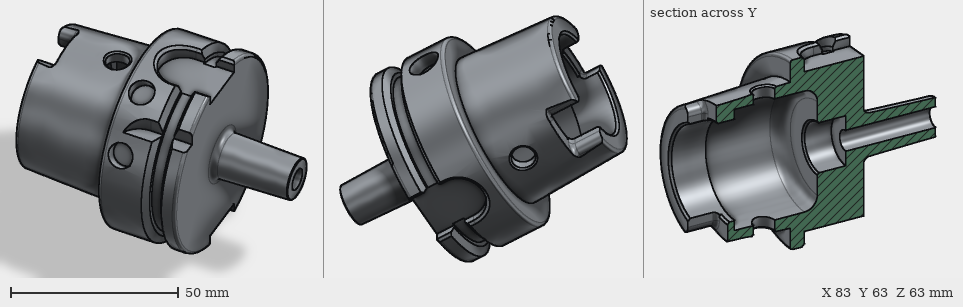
import cadquery as cq
import math


length = 82.95
flange_start = 32.0
flange_end = 57.8
groove_center = 49.9
groove_floor_width = 3.7
groove_wall_run = 1.5

shank_tip_radius = 22.7
shank_root_radius = 24.3
edge_round = 1.0
flange_radius = 31.5
groove_radius = 27.5
groove_wall_angle = 60.0
nose_root_radius = 7.3
nose_tip_radius = 6.6
nose_fillet = 2.0
nose_tip_chamfer = 0.25

mouth_radius = 16.75
mouth_chamfer = 0.75
cavity_start = 12.6
cavity_end = 41.5
cavity_radius = 20.0
cavity_fillet = 4.5
tube_bore_radius = 8.2
tube_bore_chamfer = 0.62
tube_bore_depth = 9.95
coolant_radius = 3.4

drive_half_width = 6.1
drive_wall_top = 18.25
drive_flare_radius = 2.7
drive_flare_reach = 2.5
drive_floor_fillet = 1.4
top_drive_depth = 6.05
bottom_drive_depth = 10.0

cross_hole_x = 22.9
cross_hole_radius = 3.65
cross_hole_chamfer = 0.6

keyway_half_width = 8.0
keyway_floor = 26.55
keyway_round_x = 45.05
keyway_rim_chamfer = 1.0

notch_offset = 20.0
notch_end_x = 44.05
notch_end_radius = 8.0

wrench_hole_x = 38.0
wrench_hole_radius = 4.0
wrench_hole_floor = 27.5
wrench_hole_angle = 26.5
chip_hole_x = 38.7
chip_hole_radius = 5.0
chip_hole_depth = 4.5

clearance = 4.15


def turned(profile):
    """Close a half profile drawn as (X, radius) and revolve it about X."""
    return profile.close().revolve(360, (0, 0, 0), (1, 0, 0))


def shank():
    """Tapered shank with a rounded tip and a chamfered cross hole."""
    profile = cq.Workplane("XY").polyline([
        (0, 0),
        (0, shank_tip_radius),
        (flange_start, shank_root_radius),
        (flange_start, 0),
    ])
    taper = turned(profile).faces("<X").edges().fillet(edge_round)
    hole = cq.Workplane("XY").center(cross_hole_x, 0).circle(cross_hole_radius)
    taper = taper.cut(hole.extrude(shank_root_radius + clearance, both=True))
    for low, high in ((mouth_radius, shank_root_radius), (-shank_root_radius, -mouth_radius)):
        rim = cq.selectors.BoxSelector(
            (cross_hole_x - cross_hole_radius, -cross_hole_radius, low),
            (cross_hole_x + cross_hole_radius, cross_hole_radius, high),
        )
        taper = taper.edges(rim).chamfer(cross_hole_chamfer)
    return taper


def gripper_groove():
    """Flat-floored groove whose upper walls slope open."""
    outer_radius = flange_radius + clearance
    floor_half = groove_floor_width / 2
    slope = math.tan(math.radians(groove_wall_angle))
    slope_foot = flange_radius - groove_wall_run * slope
    top_half = floor_half + (outer_radius - slope_foot) / slope
    profile = cq.Workplane("XY").polyline([
        (groove_center - floor_half, groove_radius),
        (groove_center - floor_half, slope_foot),
        (groove_center - top_half, outer_radius),
        (groove_center + top_half, outer_radius),
        (groove_center + floor_half, slope_foot),
        (groove_center + floor_half, groove_radius),
    ])
    return turned(profile)


def nose():
    arc_sag = nose_fillet * (1 - math.sqrt(0.5))
    profile = (
        cq.Workplane("XY")
        .moveTo(flange_end, 0)
        .lineTo(flange_end, nose_root_radius + nose_fillet)
        .threePointArc(
            (flange_end + arc_sag, nose_root_radius + arc_sag),
            (flange_end + nose_fillet, nose_root_radius),
        )
        .lineTo(length - nose_tip_chamfer, nose_tip_radius)
        .lineTo(length, nose_tip_radius - nose_tip_chamfer)
        .lineTo(length, 0)
    )
    return turned(profile)


def axial_bore():
    """Mouth, wider cavity, coolant tube bore and coolant hole."""
    arc_sag = cavity_fillet * (1 - math.sqrt(0.5))
    tube_bore_end = cavity_end + tube_bore_depth
    profile = (
        cq.Workplane("XY")
        .moveTo(0, 0)
        .lineTo(0, mouth_radius)
        .lineTo(cavity_start, mouth_radius)
        .lineTo(cavity_start, cavity_radius)
        .lineTo(cavity_end - cavity_fillet, cavity_radius)
        .threePointArc(
            (cavity_end - arc_sag, cavity_radius - arc_sag),
            (cavity_end, cavity_radius - cavity_fillet),
        )
        .lineTo(cavity_end, tube_bore_radius + tube_bore_chamfer)
        .lineTo(cavity_end + tube_bore_chamfer, tube_bore_radius)
        .lineTo(tube_bore_end, tube_bore_radius)
        .lineTo(tube_bore_end, coolant_radius)
        .lineTo(length, coolant_radius)
        .lineTo(length, 0)
    )
    return turned(profile)


def mouth_bevel(x):
    """Cone that bevels the mouth bore where it meets a face at the given X."""
    return cq.Workplane("XY").add(cq.Solid.makeCone(
        mouth_radius + mouth_chamfer,
        mouth_radius,
        mouth_chamfer,
        pnt=cq.Vector(x, 0, 0),
        dir=cq.Vector(1, 0, 0),
    ))


def drive_slot(depth):
    """Slot on the +Z side: walls that flare outward, a rounded floor edge, a beveled mouth."""
    r = drive_flare_radius
    arc_sag = r * (1 - math.sqrt(0.5))
    inner = mouth_radius / 2
    flare_top = drive_wall_top + r
    flare_y = drive_half_width + r
    arc_mid = (drive_half_width + arc_sag, flare_top - arc_sag)
    outer_y = flare_y + drive_flare_reach
    outer_z = shank_root_radius + clearance
    slot = (
        cq.Workplane("YZ", origin=(-clearance, 0, 0))
        .moveTo(drive_half_width, inner)
        .lineTo(drive_half_width, drive_wall_top)
        .threePointArc(arc_mid, (flare_y, flare_top))
        .lineTo(outer_y, flare_top)
        .lineTo(outer_y, outer_z)
        .lineTo(-outer_y, outer_z)
        .lineTo(-outer_y, flare_top)
        .lineTo(-flare_y, flare_top)
        .threePointArc((-arc_mid[0], arc_mid[1]), (-drive_half_width, drive_wall_top))
        .lineTo(-drive_half_width, inner)
        .close()
        .extrude(depth + clearance)
    )
    slot = slot.faces(">X").edges().fillet(drive_floor_fillet)
    floor_width = 2 * (drive_half_width - drive_floor_fillet)
    floor_strip = cq.Workplane("XY").box(length, floor_width, outer_z, centered=(True, True, False))
    return slot.union(mouth_bevel(depth).intersect(floor_strip))


def keyway():
    """Keyway on the +Z side: round at the shank end, open at the nose end."""
    height = flange_radius + clearance - keyway_floor
    run = flange_end + clearance - keyway_round_x
    base = cq.Workplane("XY", origin=(keyway_round_x, 0, keyway_floor))
    round_end = base.circle(keyway_half_width).extrude(height)
    straight = base.rect(run, 2 * keyway_half_width).extrude(height).translate((run / 2, 0, 0))
    return round_end.union(straight)


def flange_disc():
    disc = cq.Workplane("YZ", origin=(flange_start, 0, 0))
    return disc.circle(flange_radius).extrude(flange_end - flange_start)


def flange():
    """Rounded disc with the chamfered keyways and the gripper groove."""
    disc = flange_disc()
    for key in (keyway(), keyway().mirror("XY")):
        disc = disc.cut(key)
    rim_bottom = (keyway_floor + flange_radius) / 2
    for low, high in ((rim_bottom, flange_radius), (-flange_radius, -rim_bottom)):
        rim = cq.selectors.BoxSelector(
            (flange_start + edge_round, -flange_radius / 2, low),
            (flange_end - edge_round, flange_radius / 2, high),
        )
        disc = disc.edges(rim).chamfer(keyway_rim_chamfer)
    rounded_disc = flange_disc().faces("<X or >X").edges().fillet(edge_round)
    return disc.intersect(rounded_disc).cut(gripper_groove())


def corner_notch():
    """Square corner cut on the -Y +Z side, with a round run-out toward the shank."""
    wall_y = -notch_offset
    outer_y = -flange_radius - clearance
    center_y = wall_y - notch_end_radius
    arc_step = notch_end_radius * math.sqrt(0.5)
    return (
        cq.Workplane("XY", origin=(0, 0, notch_offset))
        .moveTo(flange_end + clearance, wall_y)
        .lineTo(notch_end_x, wall_y)
        .threePointArc(
            (notch_end_x - arc_step, center_y + arc_step),
            (notch_end_x - notch_end_radius, center_y),
        )
        .lineTo(notch_end_x - notch_end_radius, outer_y)
        .lineTo(flange_end + clearance, outer_y)
        .close()
        .extrude(flange_radius)
    )


def radial_hole(x, radius, floor, angle):
    """Flat-bottomed hole in the flange; angle turns it from +Z toward -Y."""
    hole = cq.Workplane("XY", origin=(x, 0, floor)).circle(radius)
    hole = hole.extrude(flange_radius + clearance - floor)
    return hole.rotate((0, 0, 0), (1, 0, 0), angle)


result = shank().union(flange()).union(nose())
result = result.cut(axial_bore()).cut(mouth_bevel(0))

result = result.cut(drive_slot(top_drive_depth))
result = result.cut(drive_slot(bottom_drive_depth).mirror("XY"))

result = result.cut(corner_notch())

for hole_angle in (wrench_hole_angle, 90 - wrench_hole_angle):
    result = result.cut(
        radial_hole(wrench_hole_x, wrench_hole_radius, wrench_hole_floor, hole_angle)
    )
result = result.cut(
    radial_hole(chip_hole_x, chip_hole_radius, flange_radius - chip_hole_depth, -90)
)